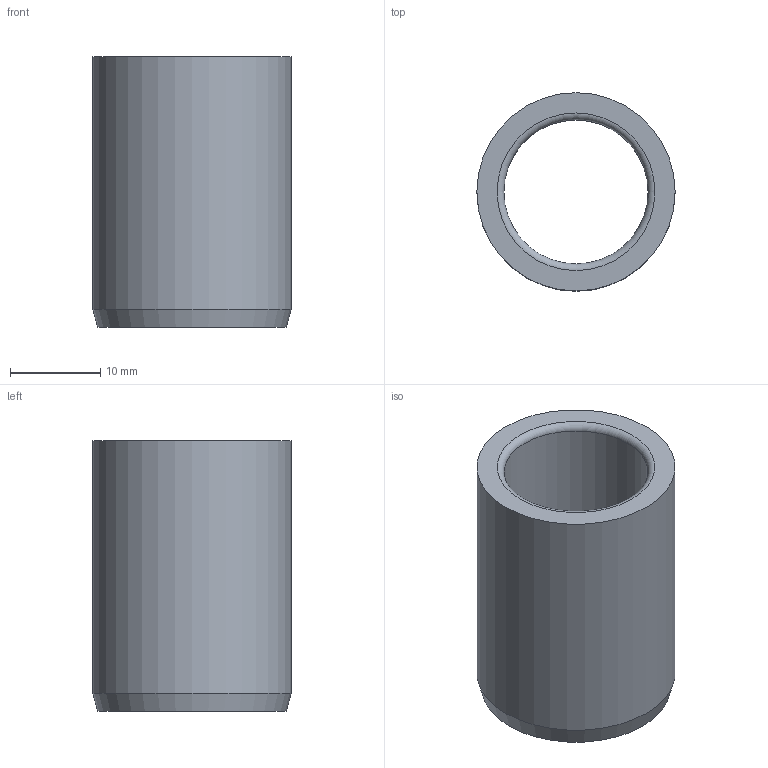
import cadquery as cq
import math

outer_diameter = 22.0
bore_diameter = 16.0
length = 30.0
lead_in_length = 2.0
lead_in_angle = 15.0
mouth_radius = 0.75

outer_radius = outer_diameter / 2
bore_radius = bore_diameter / 2
lead_in_depth = lead_in_length * math.tan(math.radians(lead_in_angle))


def make_sleeve():
    """Tube with a through bore and a tapered lead-in at its lower outer end."""
    wall_profile = (
        cq.Workplane("XZ")
        .moveTo(bore_radius, 0)
        .lineTo(outer_radius - lead_in_depth, 0)
        .lineTo(outer_radius, lead_in_length)
        .lineTo(outer_radius, length)
        .lineTo(bore_radius, length)
        .close()
    )
    return wall_profile.revolve(360, (0, 0, 0), (0, 1, 0))


def round_bore_mouth(body):
    """Round the upper edge of the bore."""
    bore_edge = cq.selectors.RadiusNthSelector(0)
    return body.faces(">Z").edges(bore_edge).fillet(mouth_radius)


result = round_bore_mouth(make_sleeve())